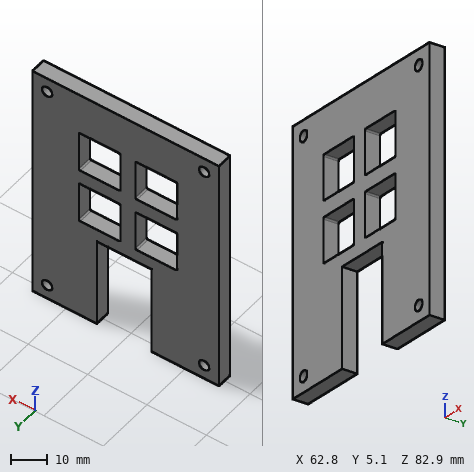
import cadquery as cq

width = 62.8
thickness = 5.1
height = 82.9
left = -width / 2
top = height / 2
bottom = -height / 2

hole_diameter = 3.4
hole_inset = 5.0

window_size = 14.0
window_pitch = 19.1
window_corner_radius = 0.5
grid_left_margin = 14.1
grid_top_margin = 14.3

notch_left_margin = 22.7
notch_width = 18.4
notch_height = 31.0


def make_plate():
    return cq.Workplane("XY").box(width, thickness, height)


def make_screw_holes():
    """Cylinders through the plate near its four corners."""
    return (
        cq.Workplane("XZ")
        .rect(width - 2 * hole_inset, height - 2 * hole_inset, forConstruction=True)
        .vertices()
        .circle(hole_diameter / 2)
        .extrude(thickness, both=True)
    )


def make_windows():
    """Square prisms through the plate with slightly rounded corners."""
    center_offset = (window_size + window_pitch) / 2
    grid_x = left + grid_left_margin + center_offset
    grid_z = top - grid_top_margin - center_offset
    return (
        cq.Workplane("XZ")
        .center(grid_x, grid_z)
        .rarray(window_pitch, window_pitch, 2, 2)
        .rect(window_size, window_size)
        .extrude(thickness, both=True)
        .edges("|Y")
        .fillet(window_corner_radius)
    )


def make_notch():
    """Block that opens the lower edge, off the plate's centre line."""
    return (
        cq.Workplane("XZ")
        .center(left + notch_left_margin + notch_width / 2, bottom + notch_height / 2)
        .rect(notch_width, notch_height)
        .extrude(thickness, both=True)
    )


result = make_plate().cut(make_screw_holes()).cut(make_windows()).cut(make_notch())